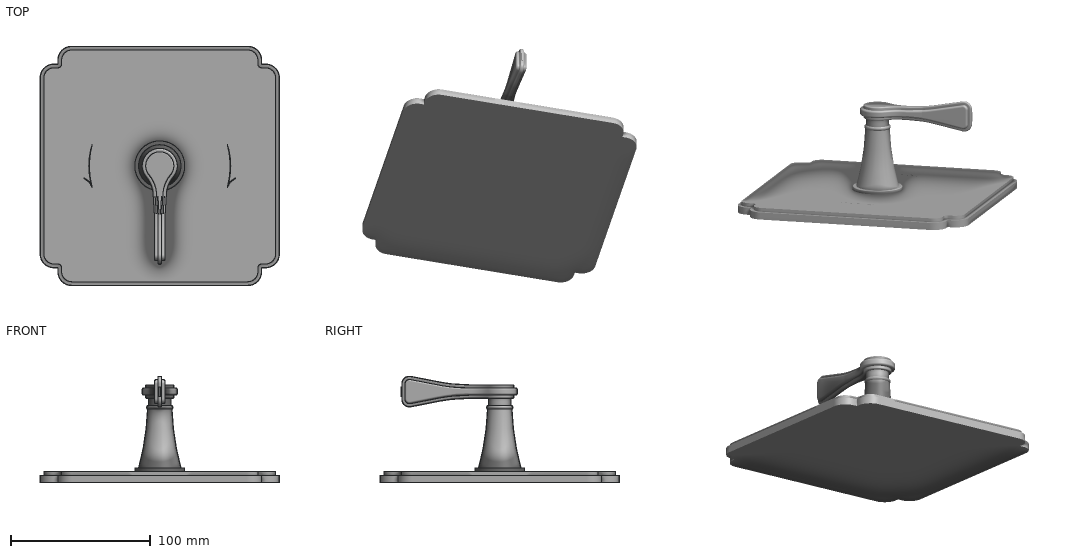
import cadquery as cq
import math

plate_size = 171.45
plate_base_height = 5.2
plate_height = 7.94
rim_ledge = 2.7
lobe_radius = 9.9
notch_depth = 12.7

flange_radius = 17.9
flange_top = 10.5
flange_fillet = 0.6
flare_base_radius = 15.2
flare_middle_radius = 10.6
flare_middle_z = 32.5
flare_top_radius = 8.8
ring_radius = 9.4
ring_bottom = 52.6
ring_top = 55.2
neck_radius = 8.1

overall_height = 76.2
handle_center_z = 65.2
handle_reach = 70.2
head_radius = 12.6
head_half_height = 4.9
throat_half_width = 4.7
throat_y = -21.5
blade_half_width = 3.9
blade_start_y = -34.4
flare_start_y = -22.0
paddle_slope_angle = 11.0
paddle_corner_radius = 5.5
core_plan_inset = 2.5
core_fillet = 0.9
band_side_inset = 2.3
band_fillet = 1.4
nub_half_width = 0.5
nub_half_height = 3.4
nub_projection = 0.6

arrow_depth = 0.3
arrow_half_length = 15.5
arrow_end_x = 48.4
arrow_middle_x = 50.9
arrow_line_width = 0.5
arrow_barb_x = 54.2
arrow_barb_y = -8.6
arrow_barb_root_x = 50.4
arrow_barb_root_y = -11.3


def plate_outline():
    """Closed outline of the plate, built one corner at a time."""
    half = plate_size / 2
    notch = half - notch_depth
    lobe_center = half - lobe_radius
    lobe_start = notch - lobe_radius
    bulge = lobe_radius * math.sqrt(0.5)
    outline = cq.Workplane("XY").moveTo(half, -lobe_start)

    def turn(x, y, quarter):
        """Rotate a point about the plate centre by whole quarter turns."""
        for _ in range(quarter):
            x, y = -y, x
        return x, y

    for quarter in range(4):
        outline = (
            outline.lineTo(*turn(half, lobe_start, quarter))
            .threePointArc(
                turn(lobe_center + bulge, lobe_start + bulge, quarter),
                turn(lobe_center, notch, quarter),
            )
            .lineTo(*turn(notch, notch, quarter))
            .lineTo(*turn(notch, lobe_center, quarter))
            .threePointArc(
                turn(lobe_start + bulge, lobe_center + bulge, quarter),
                turn(lobe_start, half, quarter),
            )
        )
    return outline.close()


def make_plate():
    base = plate_outline().extrude(plate_base_height)
    raised = plate_outline().offset2D(-rim_ledge, "arc").extrude(plate_height)
    return base.union(raised)


def make_stem():
    """Flange, flared column, bead ring and neck as one revolved profile."""
    ring_middle = (ring_bottom + ring_top) / 2
    fillet_mid = flange_fillet * (1 - math.sqrt(0.5))
    profile = (
        cq.Workplane("XZ")
        .moveTo(0, plate_base_height)
        .lineTo(flange_radius, plate_base_height)
        .lineTo(flange_radius, flange_top - flange_fillet)
        .threePointArc(
            (flange_radius - fillet_mid, flange_top - fillet_mid),
            (flange_radius - flange_fillet, flange_top),
        )
        .lineTo(flare_base_radius, flange_top)
        .threePointArc((flare_middle_radius, flare_middle_z), (flare_top_radius, ring_bottom))
        .threePointArc((ring_radius, ring_middle), (flare_top_radius, ring_top))
        .lineTo(neck_radius, ring_top)
        .lineTo(neck_radius, handle_center_z)
        .lineTo(0, handle_center_z)
        .close()
    )
    return profile.revolve(360, (0, 0), (0, 1))


def handle_plan(inset):
    """Teardrop head and narrow blade seen along Z, moved inwards by inset."""
    radius = head_radius - inset
    throat = throat_half_width - inset
    blade = blade_half_width - inset
    end_y = -handle_reach
    throat_radius = (throat_y**2 + throat**2 - radius**2) / (2 * (radius - throat))
    center_x = throat + throat_radius
    angle = math.atan2(throat_y, center_x)
    tangent_x = radius * math.cos(angle)
    tangent_y = radius * math.sin(angle)
    middle_x = center_x - throat_radius * math.cos(angle / 2)
    middle_y = throat_y - throat_radius * math.sin(angle / 2)
    return (
        cq.Workplane("XY")
        .moveTo(-tangent_x, tangent_y)
        .threePointArc((0, radius), (tangent_x, tangent_y))
        .threePointArc((middle_x, middle_y), (throat, throat_y))
        .lineTo(blade, blade_start_y)
        .lineTo(blade, end_y)
        .lineTo(-blade, end_y)
        .lineTo(-blade, blade_start_y)
        .lineTo(-throat, throat_y)
        .threePointArc((-middle_x, middle_y), (-tangent_x, tangent_y))
        .close()
        .extrude(overall_height)
    )


def handle_side(inset):
    """Flat lever flaring into the paddle seen along X, moved inwards by inset."""
    head = head_half_height - inset
    corner = paddle_corner_radius - inset
    corner_y = paddle_corner_radius - handle_reach
    corner_z = overall_height - handle_center_z - paddle_corner_radius
    slope = math.radians(paddle_slope_angle)
    slope_y = corner_y + corner * math.sin(slope)
    slope_z = corner_z + corner * math.cos(slope)
    meeting_y = slope_y + (slope_z - head) / math.tan(slope)
    tangent_length = flare_start_y - meeting_y
    flare_radius = tangent_length / math.tan(slope / 2)
    flare_end_y = flare_start_y - flare_radius * math.sin(slope)
    flare_end_z = head + flare_radius * (1 - math.cos(slope))
    flare_middle_y = flare_start_y - flare_radius * math.sin(slope / 2)
    flare_half_z = head + flare_radius * (1 - math.cos(slope / 2))
    round_angle = (math.pi / 2 - slope) / 2
    round_y = corner_y - corner * math.sin(round_angle)
    round_z = corner_z + corner * math.cos(round_angle)
    return (
        cq.Workplane("YZ", origin=(0, 0, handle_center_z))
        .moveTo(head_radius, head)
        .lineTo(flare_start_y, head)
        .threePointArc((flare_middle_y, flare_half_z), (flare_end_y, flare_end_z))
        .lineTo(slope_y, slope_z)
        .threePointArc((round_y, round_z), (corner_y - corner, corner_z))
        .lineTo(corner_y - corner, -corner_z)
        .threePointArc((round_y, -round_z), (slope_y, -slope_z))
        .lineTo(flare_end_y, -flare_end_z)
        .threePointArc((flare_middle_y, -flare_half_z), (flare_start_y, -head))
        .lineTo(head_radius, -head)
        .close()
        .extrude(head_radius, both=True)
    )


def handle_layer(plan_inset, side_inset, fillet):
    """Region inside both outlines, rounded where the two sets of walls meet."""
    layer = handle_plan(plan_inset).intersect(handle_side(side_inset))
    return layer.edges("not(|X or |Z)").fillet(fillet)


def make_handle():
    """Stepped lever: a tall thin core standing out of a lower, wider band."""
    core = handle_layer(core_plan_inset, 0, core_fillet)
    band = handle_layer(0, band_side_inset, band_fillet)
    return core.union(band)


def make_tip_nub():
    """Small raised land in the middle of the paddle's end face."""
    nub = cq.Workplane("XY").box(2 * nub_half_width, 2 * nub_projection, 2 * nub_half_height)
    return nub.translate((0, -handle_reach, handle_center_z))


def make_arrow_cutter():
    """Thin curved stroke ending in a single slanted barb, on the -X side."""
    face = cq.Workplane("XY", origin=(0, 0, plate_height - arrow_depth))
    middle_inner_x = arrow_line_width - arrow_middle_x
    tip = (-arrow_end_x, -arrow_half_length)
    stroke = (
        face.moveTo(-arrow_end_x, arrow_half_length)
        .threePointArc((-arrow_middle_x, 0), tip)
        .threePointArc((middle_inner_x, 0), (-arrow_end_x, arrow_half_length))
        .close()
        .extrude(2 * arrow_depth)
    )
    barb = (
        face.moveTo(-arrow_barb_x, arrow_barb_y)
        .lineTo(-arrow_barb_root_x, arrow_barb_root_y)
        .lineTo(*tip)
        .lineTo(-arrow_barb_root_x, arrow_barb_root_y - arrow_line_width)
        .lineTo(-arrow_barb_x, arrow_barb_y - arrow_line_width)
        .close()
        .extrude(2 * arrow_depth)
    )
    return stroke.union(barb)


result = make_plate().union(make_stem()).union(make_handle()).union(make_tip_nub())
left_arrow = make_arrow_cutter()
result = result.cut(left_arrow).cut(left_arrow.mirror("YZ"))